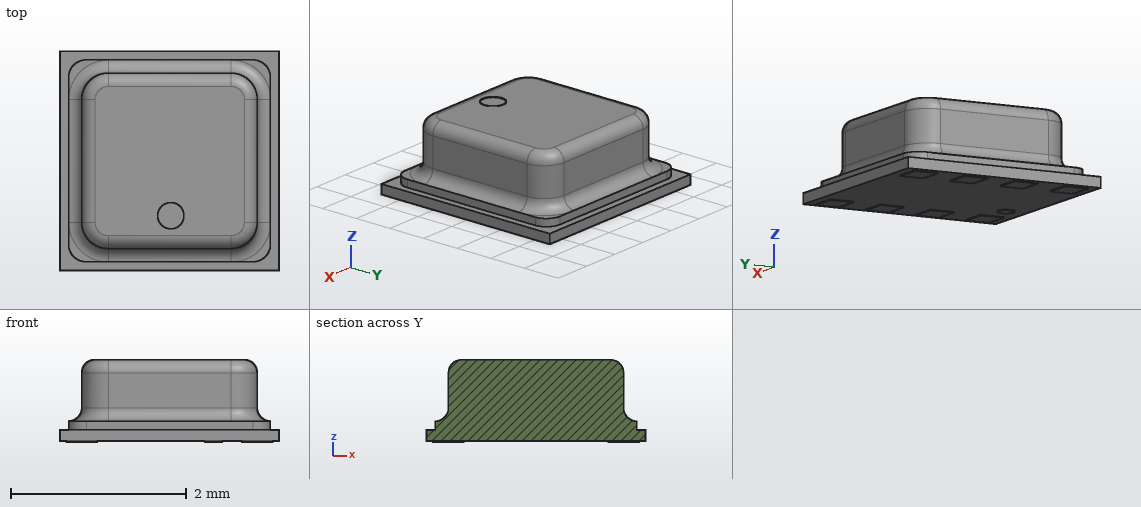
import cadquery as cq

package_size = 2.5
substrate_thickness = 0.13

pad_thickness = 0.01
pad_length = 0.35
pad_width = 0.3
pad_pitch = 0.65
pads_per_row = 4
pad_edge_gap = 0.075
marker_diameter = 0.2
marker_x = 0.5

lid_height = 0.8
lid_size = 2.0
lid_corner_radius = 0.3
lid_top_radius = 0.15
flange_thickness = 0.1
flange_corner_radius = 0.2
flare_radius = 0.15
flange_size = lid_size + 2 * flare_radius

vent_diameter = 0.3
vent_x = 0.015
vent_y = -0.625
vent_depth = 0.01

substrate_bottom = pad_thickness
substrate_top = substrate_bottom + substrate_thickness
lid_top = substrate_top + lid_height


def rounded_square(size, corner_radius, bottom, height):
    """Square block on the Z axis with rounded vertical edges."""
    block = cq.Workplane("XY").workplane(offset=bottom).rect(size, size).extrude(height)
    return block.edges("|Z").fillet(corner_radius)


def make_substrate():
    plate = cq.Workplane("XY").workplane(offset=substrate_bottom)
    return plate.rect(package_size, package_size).extrude(substrate_thickness)


def make_pads():
    """Two rows of pads plus the round marker beside the first pad."""
    row_spacing = package_size - 2 * pad_edge_gap - pad_length
    pads = (
        cq.Workplane("XY")
        .rarray(row_spacing, pad_pitch, 2, pads_per_row)
        .rect(pad_length, pad_width)
        .extrude(pad_thickness)
    )
    first_pad_y = -pad_pitch * (pads_per_row - 1) / 2
    marker = (
        cq.Workplane("XY")
        .center(marker_x, first_pad_y)
        .circle(marker_diameter / 2)
        .extrude(pad_thickness)
    )
    return pads.union(marker)


def make_lid():
    """Rounded cap that flares into a flange.

    The flare is rounded onto a full-size plate, then everything is trimmed to
    the flange outline, because the flare just reaches the flange edge.
    """
    flare_plate = (
        cq.Workplane("XY")
        .workplane(offset=substrate_top)
        .rect(package_size, package_size)
        .extrude(flange_thickness)
    )
    cap = rounded_square(lid_size, lid_corner_radius, substrate_top, lid_height)
    cap = cap.faces(">Z").edges().fillet(lid_top_radius)

    foot_level = substrate_top + flange_thickness
    reach = flange_size / 2
    foot_edges = cq.selectors.BoxSelector(
        (-reach, -reach, foot_level - flange_thickness / 2),
        (reach, reach, foot_level + flange_thickness / 2),
        boundingbox=True,
    )
    lid = flare_plate.union(cap).edges(foot_edges).fillet(flare_radius)
    outline = rounded_square(flange_size, flange_corner_radius, substrate_top, lid_height)
    return lid.intersect(outline)


def make_vent():
    return (
        cq.Workplane("XY")
        .workplane(offset=lid_top - vent_depth)
        .center(vent_x, vent_y)
        .circle(vent_diameter / 2)
        .extrude(vent_depth)
    )


result = make_substrate().union(make_pads()).union(make_lid()).cut(make_vent())